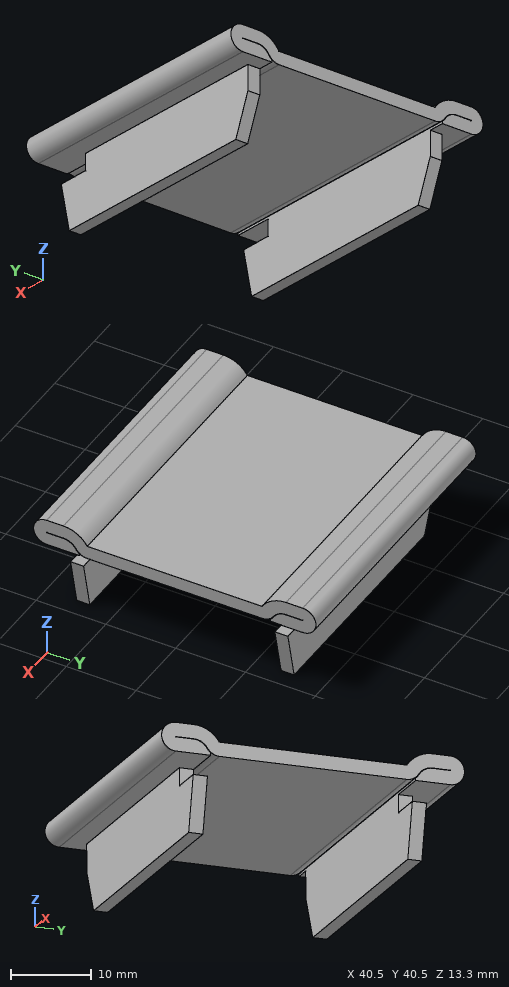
import cadquery as cq
import math

length = 40.5
width = 40.5
height = 13.3
sheet = 1.9
hem_height = 2 * sheet
crest_start = 4.3
bend_radius = 4.05
seam_gap = 0.05
lip_end = 6.55
tab_depth = height - hem_height

tab_start = 2.4
tab_corner_depth = 3.65
tab_bottom_start = 4.78
tab_bottom_end = 37.75
tab_tip = 39.35
notch_start = 34.53
notch_depth = 2.4

bend_run = math.sqrt(bend_radius**2 - (bend_radius - sheet)**2)
bend_root = crest_start + bend_run
bend_center_z = hem_height - bend_radius
inner_radius = bend_radius - sheet


def on_circle(center_y, center_z, radius, angle):
    return (center_y + radius * math.cos(angle), center_z + radius * math.sin(angle))


def make_hem():
    """Hem section along one edge: Y inward from the edge, Z up from the underside."""
    root_angle = math.atan2(sheet - bend_center_z, bend_run)
    crest_middle = (root_angle + math.pi / 2) / 2
    reverse_end = root_angle + math.pi
    lip_radius = inner_radius - seam_gap
    lip_reverse_radius = sheet + seam_gap
    lip_corner_angle = math.pi + math.acos((bend_root - lip_end) / lip_reverse_radius)
    reverse_lip_middle = (reverse_end + lip_corner_angle) / 2

    section = (
        cq.Workplane("YZ")
        .moveTo(sheet, 0)
        .threePointArc((0, sheet), (sheet, hem_height))
        .lineTo(crest_start, hem_height)
        .threePointArc(
            on_circle(crest_start, bend_center_z, bend_radius, crest_middle), (bend_root, sheet)
        )
        .lineTo(bend_root, 0)
        .threePointArc(
            on_circle(bend_root, sheet, sheet, (reverse_end + 1.5 * math.pi) / 2),
            on_circle(bend_root, sheet, sheet, reverse_end),
        )
        .threePointArc(
            on_circle(crest_start, bend_center_z, inner_radius, crest_middle), (crest_start, sheet)
        )
        .lineTo(sheet, sheet)
        .lineTo(sheet, sheet - seam_gap)
        .lineTo(crest_start, sheet - seam_gap)
        .threePointArc(
            on_circle(crest_start, bend_center_z, lip_radius, crest_middle),
            on_circle(bend_root, sheet, lip_reverse_radius, reverse_end),
        )
        .threePointArc(
            on_circle(bend_root, sheet, lip_reverse_radius, reverse_lip_middle),
            on_circle(bend_root, sheet, lip_reverse_radius, lip_corner_angle),
        )
        .lineTo(lip_end, 0)
        .close()
    )
    return section.extrude(length)


def make_tab():
    """Tab hanging below the lip, flush with the lip's end face."""
    outline = [
        (tab_start, 0),
        (tab_start, -tab_corner_depth),
        (tab_bottom_start, -tab_depth),
        (tab_bottom_end, -tab_depth),
        (tab_tip, -notch_depth),
        (notch_start, -notch_depth),
        (notch_start, 0),
    ]
    return cq.Workplane("XZ", origin=(0, lip_end, 0)).polyline(outline).close().extrude(sheet)


web = cq.Workplane("XY").box(length, width - 2 * bend_root, sheet, centered=(False, True, False))
side = make_hem().union(make_tab()).translate((0, -width / 2, 0))
result = web.union(side).union(side.mirror("XZ")).translate((-length / 2, 0, 0))